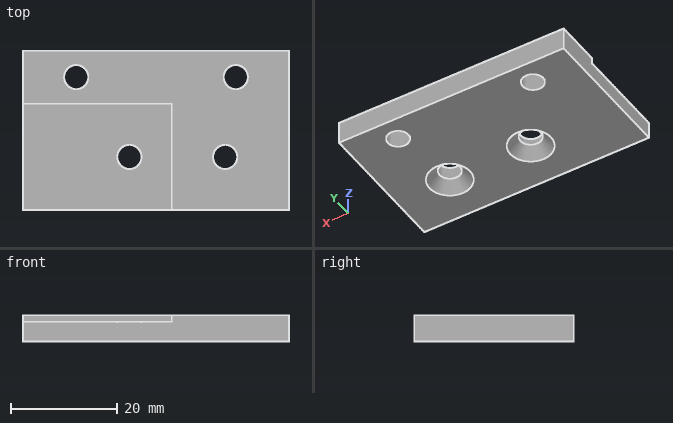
import cadquery as cq

length = 50
width = 30
thickness = 5

recess_length = 28
recess_width = 20
recess_depth = 1.3

hole_diameter = 4.5
edge_distance = 5
back_row_y = width - edge_distance
front_row_y = recess_width / 2
back_holes = [(10, back_row_y), (40, back_row_y)]
front_holes = [(20, front_row_y), (38, front_row_y)]

countersink_diameter = 9
countersink_depth = (countersink_diameter - hole_diameter) / 2

plate = cq.Workplane("XY").box(length, width, thickness, centered=False)
recess = (
    cq.Workplane("XY", origin=(0, 0, thickness - recess_depth))
    .box(recess_length, recess_width, recess_depth, centered=False)
)
holes = (
    cq.Workplane("XY")
    .pushPoints(back_holes + front_holes)
    .circle(hole_diameter / 2)
    .extrude(thickness)
)
countersinks = (
    cq.Workplane("XY")
    .pushPoints(front_holes)
    .circle(countersink_diameter / 2)
    .extrude(countersink_depth, taper=45)
)

result = plate.cut(recess).cut(holes).cut(countersinks)